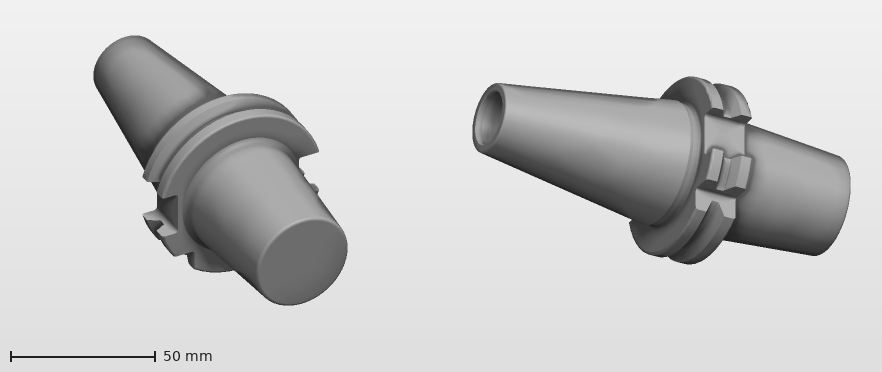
import cadquery as cq
import math

LENGTH = 133.2

TAPER_RATIO = 7 / 24
TAPER_LENGTH = 67.4
TAPER_LARGE_RADIUS = 22.3
TAPER_SMALL_RADIUS = TAPER_LARGE_RADIUS - TAPER_LENGTH * TAPER_RATIO / 2
TAIL_ROUND = 0.8

NECK_START = 68.6
NECK_RADIUS = 21.9
NECK_FILLET = 0.8

FLANGE_START = 71.5
FLANGE_WIDTH = 15.7
FLANGE_END = FLANGE_START + FLANGE_WIDTH
FLANGE_DIAMETER = 63.5
FLANGE_RADIUS = FLANGE_DIAMETER / 2
CUTTER_CLEARANCE = 1.3
FLANGE_ROUND = 0.9
GROOVE_CENTRE = 79.3
GROOVE_FLOOR_WIDTH = 3.2
GROOVE_FLOOR_RADIUS = 27.8
GROOVE_FILLET = 0.5
GROOVE_FLANK_ANGLE = 30.0

NOSE_START = 90.0
NOSE_LARGE_RADIUS = 21.2
NOSE_SMALL_RADIUS = 17.9
NOSE_ROUND = 1.2
BLEND_RADIUS_AT_FLANGE = 22.9

MOUTH_RADIUS = 9.9
MOUTH_CHAMFER = 0.4
ENTRY_RADIUS = 9.5
ENTRY_DEPTH = 2.4
CONE_END_RADIUS = 8.4
CONE_END_DEPTH = 5.6
COUNTERBORE_DEPTH = 9.2
STEP_RADIUS = 7.9
STEP_CHAMFER = 1.0
BORE_RADIUS = 6.8
BORE_DEPTH = 29.3
DRILL_POINT_ANGLE = 120.0

SLOT_WIDTH = 16.1
FRONT_SLOT_FLOOR = 24.7
BACK_SLOT_FLOOR = 22.5
FRONT_SLOT_FILLET = 1.3
BACK_SLOT_FILLET = 0.9
NOTCH_Y = 18.3
NOTCH_Z = 18.0
NOTCH_FILLET = 0.9


def revolve_about_x(outline):
    return outline.close().revolve(360, (0, 0, 0), (1, 0, 0))


def taper_and_neck():
    outline = (
        cq.Workplane("XY")
        .lineTo(0, TAPER_SMALL_RADIUS)
        .lineTo(TAPER_LENGTH, TAPER_LARGE_RADIUS)
        .lineTo(NECK_START, NECK_RADIUS)
        .lineTo(FLANGE_START - NECK_FILLET, NECK_RADIUS)
        .radiusArc((FLANGE_START, NECK_RADIUS + NECK_FILLET), -NECK_FILLET)
        .lineTo(FLANGE_START, 0)
    )
    return revolve_about_x(outline).faces("<X").edges().fillet(TAIL_ROUND)


def gripper_groove():
    flank_start = GROOVE_FLOOR_RADIUS + GROOVE_FILLET
    floor_half = GROOVE_FLOOR_WIDTH / 2
    flat_half = floor_half - GROOVE_FILLET
    flank_run = (FLANGE_RADIUS - flank_start) * math.tan(math.radians(GROOVE_FLANK_ANGLE))
    mouth_half = floor_half + flank_run
    clearance_radius = FLANGE_RADIUS + CUTTER_CLEARANCE
    outline = (
        cq.Workplane("XY")
        .moveTo(GROOVE_CENTRE - flat_half, GROOVE_FLOOR_RADIUS)
        .radiusArc((GROOVE_CENTRE - floor_half, flank_start), GROOVE_FILLET)
        .lineTo(GROOVE_CENTRE - mouth_half, FLANGE_RADIUS)
        .lineTo(GROOVE_CENTRE - mouth_half, clearance_radius)
        .lineTo(GROOVE_CENTRE + mouth_half, clearance_radius)
        .lineTo(GROOVE_CENTRE + mouth_half, FLANGE_RADIUS)
        .lineTo(GROOVE_CENTRE + floor_half, flank_start)
        .radiusArc((GROOVE_CENTRE + flat_half, GROOVE_FLOOR_RADIUS), GROOVE_FILLET)
    )
    return revolve_about_x(outline)


def flange_cutter(y_min, y_max, z_min, z_max, fillet, rounded_edges):
    """Box along X through the flange, with its inner corners rounded."""
    size_y = y_max - y_min
    size_z = z_max - z_min
    return (
        cq.Workplane("XY")
        .box(FLANGE_WIDTH, size_y, size_z, centered=False)
        .edges(rounded_edges)
        .fillet(fillet)
        .translate((FLANGE_START, y_min, z_min))
    )


def flange():
    outside = FLANGE_RADIUS + CUTTER_CLEARANCE
    slot_half = SLOT_WIDTH / 2
    body = (
        cq.Workplane("YZ", origin=(FLANGE_START, 0, 0))
        .circle(FLANGE_RADIUS)
        .extrude(FLANGE_WIDTH)
        .edges("%CIRCLE")
        .fillet(FLANGE_ROUND)
    )
    front_slot = flange_cutter(
        -outside, -FRONT_SLOT_FLOOR, -slot_half, slot_half, FRONT_SLOT_FILLET, "|X and >Y"
    )
    back_slot = flange_cutter(
        BACK_SLOT_FLOOR, outside, -slot_half, slot_half, BACK_SLOT_FILLET, "|X and <Y"
    )
    notch = flange_cutter(
        -outside, -NOTCH_Y, -outside, -NOTCH_Z, NOTCH_FILLET, "|X and >Y and >Z"
    )
    return body.cut(gripper_groove()).cut(front_slot).cut(back_slot).cut(notch)


def nose():
    outline = (
        cq.Workplane("XY")
        .moveTo(FLANGE_END, 0)
        .lineTo(LENGTH, 0)
        .lineTo(LENGTH, NOSE_SMALL_RADIUS)
        .lineTo(NOSE_START, NOSE_LARGE_RADIUS)
        .tangentArcPoint((FLANGE_END, BLEND_RADIUS_AT_FLANGE), relative=False)
    )
    return revolve_about_x(outline).faces(">X").edges().fillet(NOSE_ROUND)


def stepped_bore():
    point_depth = BORE_RADIUS / math.tan(math.radians(DRILL_POINT_ANGLE / 2))
    outline = (
        cq.Workplane("XY")
        .lineTo(0, MOUTH_RADIUS)
        .lineTo(MOUTH_CHAMFER, ENTRY_RADIUS)
        .lineTo(ENTRY_DEPTH, ENTRY_RADIUS)
        .lineTo(CONE_END_DEPTH, CONE_END_RADIUS)
        .lineTo(COUNTERBORE_DEPTH, CONE_END_RADIUS)
        .lineTo(COUNTERBORE_DEPTH, STEP_RADIUS)
        .lineTo(COUNTERBORE_DEPTH + STEP_CHAMFER, BORE_RADIUS)
        .lineTo(BORE_DEPTH, BORE_RADIUS)
        .lineTo(BORE_DEPTH + point_depth, 0)
    )
    return revolve_about_x(outline)


result = taper_and_neck().union(flange()).union(nose()).cut(stepped_bore())